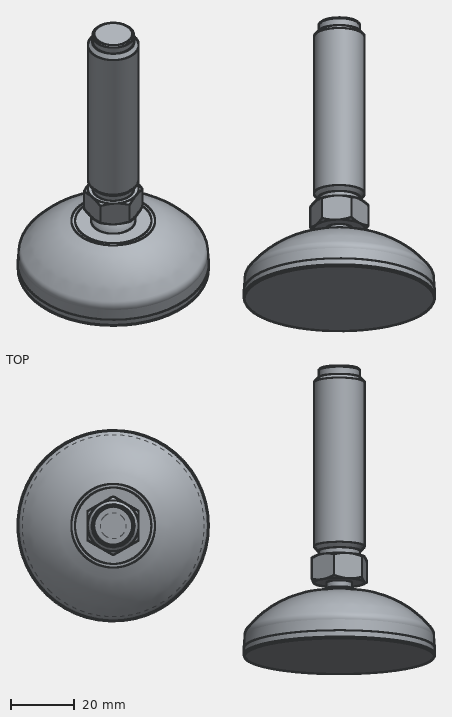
import cadquery as cq
import math

total_height = 91.7

foot_diameter = 60.0
foot_height = 19.1
pad_height = 2.6
pad_chamfer_height = 0.55
pad_chamfer_depth = 0.3
skirt_top_diameter = 59.4
skirt_top_z = 6.05
dome_bottom_diameter = 57.7
dome_bottom_z = 8.6
dome_top_diameter = 26.2
dome_radius = 32.1
shoulder_bulge = 0.3
shell_opening_diameter = 23.9
shell_thickness = 1.2

ball_diameter = 15.7
socket_diameter = 16.2
ball_center_z = 14.9
neck_diameter = 8.1

hex_across_flats = 16.0
hex_bottom_z = 23.5
hex_height = 8.1
hex_chamfer_angle = 30.0

thread_diameter = 16.0
collar_diameter = 13.0
collar_height = 2.0
pilot_diameter = 13.0
pilot_height = 2.8
pilot_chamfer = 0.55
thread_end_diameter = 13.3
thread_chamfer_height = 1.5


def cylinder(diameter, bottom_z, height):
    return cq.Workplane("XY").workplane(offset=bottom_z).circle(diameter / 2).extrude(height)


def ball(diameter):
    return cq.Workplane("XY").sphere(diameter / 2).translate((0, 0, ball_center_z))


def revolve_about_z(profile):
    return profile.close().revolve(360, (0, 0, 0), (0, 1, 0))


dome_top_r = dome_top_diameter / 2
dome_bottom_r = dome_bottom_diameter / 2
chord_r = dome_bottom_r - dome_top_r
chord_z = dome_bottom_z - foot_height
chord = math.hypot(chord_r, chord_z)
center_distance = math.sqrt(dome_radius**2 - (chord / 2) ** 2)
dome_center_r = (dome_top_r + dome_bottom_r) / 2 + center_distance * chord_z / chord
dome_center_z = (foot_height + dome_bottom_z) / 2 - center_distance * chord_r / chord
dome_middle_angle = math.atan2(chord_r, -chord_z)


def dome_point_at_radius(arc_radius, r):
    """Point of an arc concentric with the dome at distance r from the Z axis."""
    return (r, dome_center_z + math.sqrt(arc_radius**2 - (r - dome_center_r) ** 2))


def dome_middle_point(arc_radius):
    """Point of a concentric arc in the direction of the middle of the dome."""
    return (
        dome_center_r + arc_radius * math.cos(dome_middle_angle),
        dome_center_z + arc_radius * math.sin(dome_middle_angle),
    )


def make_foot_envelope():
    """Solid outside of the shell, from the pad up."""
    foot_r = foot_diameter / 2
    skirt_top_r = skirt_top_diameter / 2
    shoulder_middle = (
        (skirt_top_r + dome_bottom_r) / 2 + shoulder_bulge,
        (skirt_top_z + dome_bottom_z) / 2 + shoulder_bulge / 2,
    )
    profile = (
        cq.Workplane("XZ")
        .moveTo(0, pad_height)
        .lineTo(foot_r, pad_height)
        .lineTo(skirt_top_r, skirt_top_z)
        .threePointArc(shoulder_middle, (dome_bottom_r, dome_bottom_z))
        .threePointArc(dome_middle_point(dome_radius), (dome_top_r, foot_height))
        .lineTo(0, foot_height)
    )
    return revolve_about_z(profile)


def make_shell_cavity():
    """Space inside the shell, including its round opening at the top."""
    inner_radius = dome_radius - shell_thickness
    wall_r = skirt_top_diameter / 2 - shell_thickness
    opening_r = shell_opening_diameter / 2
    profile = (
        cq.Workplane("XZ")
        .moveTo(0, pad_height)
        .lineTo(wall_r, pad_height)
        .lineTo(*dome_point_at_radius(inner_radius, wall_r))
        .threePointArc(
            dome_middle_point(inner_radius),
            dome_point_at_radius(inner_radius, opening_r),
        )
        .lineTo(opening_r, foot_height)
        .lineTo(0, foot_height)
    )
    return revolve_about_z(profile)


def make_shell():
    return make_foot_envelope().cut(make_shell_cavity())


def make_core():
    pad_r = foot_diameter / 2
    pad = revolve_about_z(
        cq.Workplane("XZ")
        .lineTo(pad_r - pad_chamfer_depth, 0)
        .lineTo(pad_r, pad_chamfer_height)
        .lineTo(pad_r, pad_height)
        .lineTo(0, pad_height)
    )
    return pad.union(make_shell_cavity()).cut(ball(socket_diameter))


def make_hexagon():
    """Hexagon with corners on the Y axis, its corners bevelled at both ends."""
    across_corners = hex_across_flats / math.cos(math.radians(30))
    hexagon = (
        cq.Workplane("XY")
        .workplane(offset=hex_bottom_z)
        .polygon(6, across_corners)
        .extrude(hex_height)
        .rotate((0, 0, 0), (0, 0, 1), 30)
    )
    flat_r = hex_across_flats / 2
    corner_r = across_corners / 2
    bevel_height = (corner_r - flat_r) * math.tan(math.radians(hex_chamfer_angle))
    hex_top_z = hex_bottom_z + hex_height
    bevel_profile = (
        cq.Workplane("XZ")
        .moveTo(0, hex_bottom_z)
        .lineTo(flat_r, hex_bottom_z)
        .lineTo(corner_r, hex_bottom_z + bevel_height)
        .lineTo(corner_r, hex_top_z - bevel_height)
        .lineTo(flat_r, hex_top_z)
        .lineTo(0, hex_top_z)
    )
    return hexagon.intersect(revolve_about_z(bevel_profile))


def make_shank():
    collar_z = hex_bottom_z + hex_height
    thread_bottom_z = collar_z + collar_height
    thread_top_z = total_height - pilot_height
    collar = cylinder(collar_diameter, collar_z, collar_height)
    thread_r = thread_diameter / 2
    thread_end_r = thread_end_diameter / 2
    thread = revolve_about_z(
        cq.Workplane("XZ")
        .moveTo(0, thread_bottom_z)
        .lineTo(thread_end_r, thread_bottom_z)
        .lineTo(thread_r, thread_bottom_z + thread_chamfer_height)
        .lineTo(thread_r, thread_top_z - thread_chamfer_height)
        .lineTo(thread_end_r, thread_top_z)
        .lineTo(0, thread_top_z)
    )
    pilot = cylinder(pilot_diameter, thread_top_z, pilot_height).faces(">Z").chamfer(pilot_chamfer)
    return collar.union(thread).union(pilot)


def make_stud():
    neck = cylinder(neck_diameter, ball_center_z, hex_bottom_z - ball_center_z)
    return ball(ball_diameter).union(neck).union(make_hexagon()).union(make_shank())


shell = make_shell()
core = make_core()
stud = make_stud()

result = cq.Compound.makeCompound([shell.val(), core.val(), stud.val()])